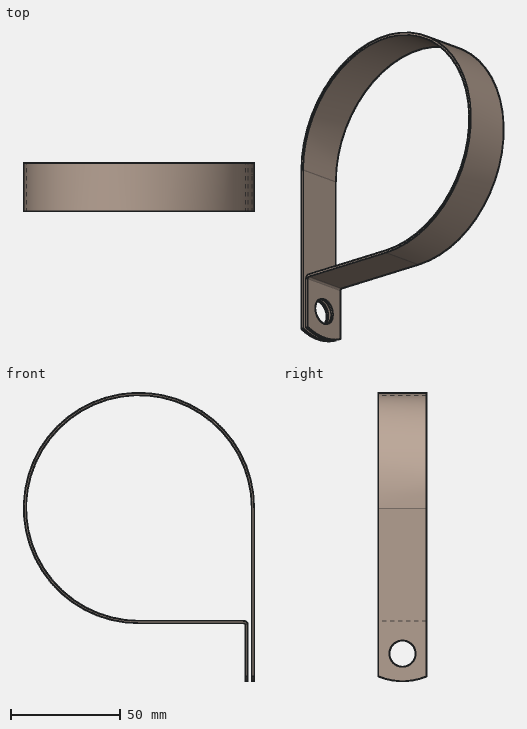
import cadquery as cq

total_height = 132.2
loop_diameter = 105.6
strap_width = 22.2
thickness = 1.2
leg_gap = 1.7
bend_outer_radius = 2.0
hole_diameter = 11.9
hole_above_end = 12.7
end_arc_rise = 2.2

outer_radius = loop_diameter / 2
inner_radius = outer_radius - thickness
bend_inner_radius = bend_outer_radius - thickness
leg_bottom = outer_radius - total_height
inner_leg_outside = inner_radius - leg_gap
inner_leg_inside = inner_leg_outside - thickness
half_width = strap_width / 2


def bent_strap():
    """Strap wrapped three quarters around the loop, ending in two parallel legs."""
    bend_x = inner_leg_outside - bend_outer_radius
    bend_z = -inner_radius - bend_outer_radius
    profile = (
        cq.Workplane("XZ", origin=(0, half_width, 0))
        .moveTo(outer_radius, leg_bottom)
        .lineTo(outer_radius, 0)
        .threePointArc((-outer_radius, 0), (0, -outer_radius))
        .lineTo(bend_x, -outer_radius)
        .radiusArc((inner_leg_inside, bend_z), bend_inner_radius)
        .lineTo(inner_leg_inside, leg_bottom)
        .lineTo(inner_leg_outside, leg_bottom)
        .lineTo(inner_leg_outside, bend_z)
        .radiusArc((bend_x, -inner_radius), -bend_outer_radius)
        .lineTo(0, -inner_radius)
        .threePointArc((-inner_radius, 0), (inner_radius, 0))
        .lineTo(inner_radius, leg_bottom)
        .close()
    )
    return profile.extrude(strap_width)


def end_envelope():
    """Oversized block whose curved underside rounds the ends of both legs."""
    shoulder = leg_bottom + end_arc_rise
    return (
        cq.Workplane("YZ")
        .moveTo(-half_width, shoulder)
        .threePointArc((0, leg_bottom), (half_width, shoulder))
        .lineTo(half_width, total_height)
        .lineTo(-half_width, total_height)
        .close()
        .extrude(total_height, both=True)
    )


def bolt_hole():
    """Cylinder along X that passes through both legs."""
    return (
        cq.Workplane("YZ")
        .center(0, leg_bottom + hole_above_end)
        .circle(hole_diameter / 2)
        .extrude(total_height)
    )


result = bent_strap().intersect(end_envelope()).cut(bolt_hole())